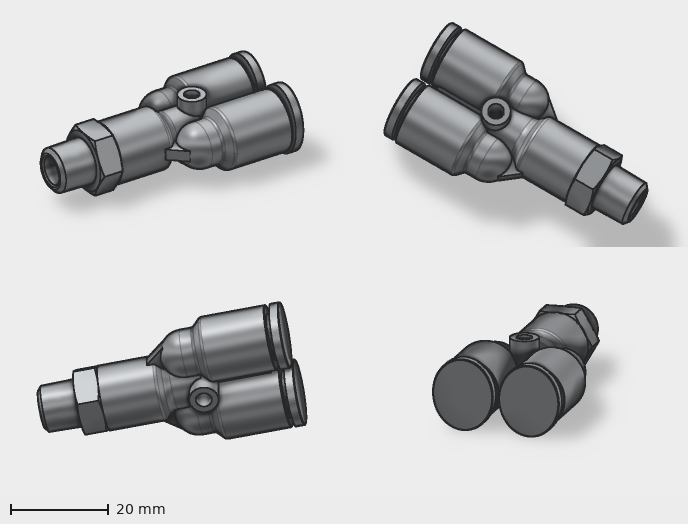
import cadquery as cq
import math


total_length = 52.6
total_width = 27.8
total_height = 15.2

body_radius = 6.8
neck_radius = 5.0
shoulder_length = body_radius - neck_radius
shoulder_round = 0.85

thread_tip_radius = 4.85
thread_root_radius = 5.0
tip_face_radius = 3.9
tip_chamfer_length = 0.8
bore_radius = 3.0
bore_mouth_radius = 3.35

hex_start = 8.0
hex_end = 13.1
hex_across_flats = 13.15
hex_corner_radius = hex_across_flats / math.sqrt(3)
hex_face_radius = 6.5
hex_corner_drop = 0.35

stem_shoulder = 25.05
stem_neck_blend = 2.1

tube_offset = total_width / 2 - body_radius
tube_dome_centre = 31.45
tube_shoulder = 36.0
tube_end = 49.7
tube_edge_chamfer = 0.15

cap_width = 13.0
cap_thickness = 1.95
cap_edge_chamfer = 0.15
collar_radius = 4.9

boss_y = 34.05
boss_radius = 3.0
boss_hole_radius = 1.65

web_thickness = 2.45
tube_web_end = 48.0
rib_outer_x = 10.05
rib_outer_y = 27.45
rib_inner_y = 23.5


def revolve_about_y(profile):
    """Full turn of a closed (radius, y) profile about the Y axis."""
    return profile.close().revolve(360, (0, 0, 0), (0, 1, 0))


def ring_edges(radius, y):
    """Selector for the circular edge of a turned shape at a given radius and Y."""
    near = 0.005
    return cq.selectors.BoxSelector(
        (-radius - near, y - near, -radius - near),
        (radius + near, y + near, radius + near),
        boundingbox=True,
    )


def make_stem():
    neck_start = stem_shoulder + shoulder_length
    stem = revolve_about_y(
        cq.Workplane("XY")
        .moveTo(0, hex_end)
        .lineTo(body_radius, hex_end)
        .lineTo(body_radius, stem_shoulder)
        .lineTo(neck_radius, neck_start)
        .lineTo(neck_radius, boss_y)
        .lineTo(0, boss_y)
    )
    stem = stem.edges(ring_edges(body_radius, stem_shoulder)).fillet(shoulder_round)
    return stem.edges(ring_edges(neck_radius, neck_start)).fillet(stem_neck_blend)


def make_hexagon():
    """Hexagon with two flats facing +Z and -Z, its corners turned off at both ends."""
    prism = (
        cq.Workplane("XZ", origin=(0, hex_start, 0))
        .polygon(6, 2 * hex_corner_radius)
        .extrude(hex_start - hex_end)
    )
    turned_envelope = revolve_about_y(
        cq.Workplane("XY")
        .moveTo(0, hex_start)
        .lineTo(hex_face_radius, hex_start)
        .lineTo(hex_corner_radius, hex_start + hex_corner_drop)
        .lineTo(hex_corner_radius, hex_end - hex_corner_drop)
        .lineTo(hex_face_radius, hex_end)
        .lineTo(0, hex_end)
    )
    return prism.intersect(turned_envelope)


def make_thread():
    """Tapered thread envelope with a chamfered tip."""
    return revolve_about_y(
        cq.Workplane("XY")
        .lineTo(tip_face_radius, 0)
        .lineTo(thread_tip_radius, tip_chamfer_length)
        .lineTo(thread_root_radius, hex_start)
        .lineTo(0, hex_start)
    )


def make_bore():
    """Blind bore through thread and hexagon, with a 45 degree mouth chamfer."""
    return revolve_about_y(
        cq.Workplane("XY")
        .lineTo(bore_mouth_radius, 0)
        .lineTo(bore_radius, bore_mouth_radius - bore_radius)
        .lineTo(bore_radius, hex_end)
        .lineTo(0, hex_end)
    )


def make_tube(x):
    """One tube: domed neck, shoulder, body, collar and oval release cap."""
    neck_end = tube_shoulder - shoulder_length
    dome_middle = neck_radius * math.sqrt(0.5)
    tube = revolve_about_y(
        cq.Workplane("XY")
        .moveTo(0, tube_dome_centre - neck_radius)
        .threePointArc((dome_middle, tube_dome_centre - dome_middle), (neck_radius, tube_dome_centre))
        .lineTo(neck_radius, neck_end)
        .lineTo(body_radius, tube_shoulder)
        .lineTo(body_radius, tube_end)
        .lineTo(0, tube_end)
    )
    tube = tube.edges(ring_edges(neck_radius, neck_end)).fillet(shoulder_round)
    tube = tube.edges(ring_edges(body_radius, tube_shoulder)).fillet(shoulder_round)
    tube = tube.faces(">Y").chamfer(tube_edge_chamfer)

    cap_start = total_length - cap_thickness
    collar = (
        cq.Workplane("XZ", origin=(0, tube_end, 0))
        .circle(collar_radius)
        .extrude(tube_end - cap_start)
    )
    cap = (
        cq.Workplane("XZ", origin=(0, cap_start, 0))
        .ellipse(cap_width / 2, total_height / 2)
        .extrude(-cap_thickness)
        .faces(">Y")
        .chamfer(cap_edge_chamfer)
    )
    return tube.union(collar).union(cap).translate((x, 0, 0))


def make_webs():
    """Web filling the gap between the tubes, and the sloped ribs beside the stem."""
    tube_web = cq.Workplane("XY").box(
        2 * tube_offset, tube_web_end - boss_y, web_thickness, centered=(True, False, True)
    ).translate((0, boss_y, 0))
    ribs = (
        cq.Workplane("XY")
        .moveTo(-body_radius, rib_inner_y)
        .lineTo(body_radius, rib_inner_y)
        .lineTo(rib_outer_x, rib_outer_y)
        .lineTo(tube_offset, tube_dome_centre)
        .lineTo(-tube_offset, tube_dome_centre)
        .lineTo(-rib_outer_x, rib_outer_y)
        .close()
        .extrude(web_thickness / 2, both=True)
    )
    return tube_web.union(ribs)


def cross_cylinder(radius):
    """Cylinder along Z on the boss axis, spanning the full height."""
    return cq.Workplane("XY").center(0, boss_y).circle(radius).extrude(total_height / 2, both=True)


result = make_stem().union(make_hexagon()).union(make_thread())
for tube_x in (-tube_offset, tube_offset):
    result = result.union(make_tube(tube_x))
result = result.union(make_webs()).union(cross_cylinder(boss_radius))
result = result.cut(make_bore()).cut(cross_cylinder(boss_hole_radius))